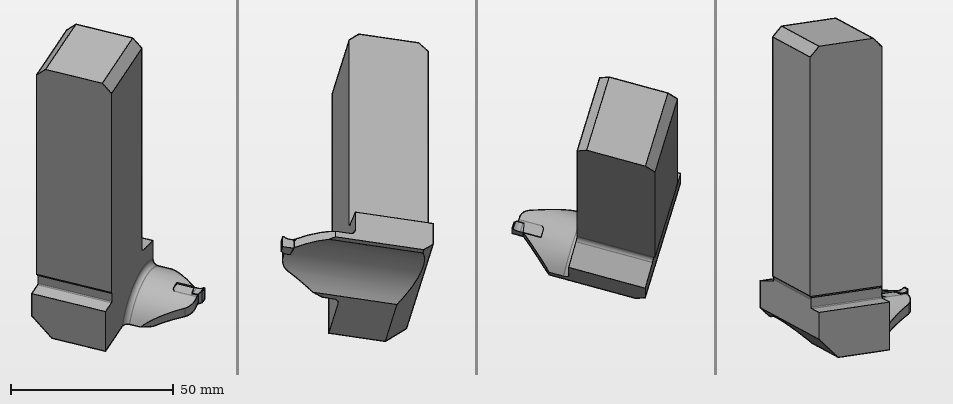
import cadquery as cq
import math

shank_width = 25.0
total_height = 99.3
top_chamfer = 3.1
shank_foot_z = 18.2
left_runout_height = 1.2
left_step = 0.45
left_runout_radius = (left_runout_height**2 + left_step**2) / (2 * left_step)
front_step = 0.2
front_bevel_height = 0.5
front_bevel_top_z = 19.3

head_front_y = -5.0
head_back_y = 34.3
shoulder_z = 15.4
shoulder_slope = 14.0
neck_fillet = 0.3
back_fillet = 1.6
corner_chamfer = 6.8

blade_y = shank_width
hollow_radius = 17.6
hollow_top_z = 5.6
hollow_back_z = 3.8
dome_radius = 16.1
dome_top_z = 9.0
root_fillet = 1.7
blade_overlap = 1.0

back_flank_x = 31.3
front_flank_x = 30.1
blade_side_y = 10.4
blade_tip_x = 44.9
back_flank_end_x = 42.3
nose_start = (42.8, 16.6)
nose_middle = (44.3, 18.0)
nose_end_y = 20.4

flat_start_x = 36.6
flat_front_y = 20.9
flat_z = 8.5
flat_corner = 1.0

tip_end_x = 46.0
tip_back_y = 24.9
tip_width = 3.1
tip_back_x = 42.4
tip_bottom_z = 5.3
tip_top_z = 9.5
tip_back_top_z = 8.8
tip_edge_width = 2.2
tip_relief = 0.9
groove_start_x = 43.3
groove_middle = (44.6, 8.9)
groove_end_x = 45.6
tip_skew = 0.5


def shank():
    """Square bar whose -X face runs out in a hollow arc at the foot."""
    runout_angle = math.asin(left_runout_height / left_runout_radius) / 2
    arc_middle = (
        left_step - left_runout_radius * (1 - math.cos(runout_angle)),
        shank_foot_z + left_runout_radius * math.sin(runout_angle),
    )
    bar = (
        cq.Workplane("XZ")
        .moveTo(shank_width, shank_foot_z)
        .lineTo(shank_width, total_height - top_chamfer)
        .lineTo(shank_width - top_chamfer, total_height)
        .lineTo(top_chamfer, total_height)
        .lineTo(0, total_height - top_chamfer)
        .lineTo(0, shank_foot_z + left_runout_height)
        .threePointArc(arc_middle, (left_step, shank_foot_z))
        .close()
        .extrude(-shank_width)
    )
    front_relief = (
        cq.Workplane("YZ")
        .polyline([
            (0, shank_foot_z),
            (front_step, shank_foot_z),
            (front_step, front_bevel_top_z - front_bevel_height),
            (0, front_bevel_top_z),
        ])
        .close()
        .extrude(shank_width)
    )
    return bar.cut(front_relief)


def head():
    """Foot block with a level front shoulder, a sloped back shoulder and a chamfered lower edge."""
    slope_rise = (head_back_y - shank_width) * math.tan(math.radians(shoulder_slope))
    block = (
        cq.Workplane("YZ", origin=(left_step, 0, 0))
        .polyline([
            (head_front_y, 0),
            (head_back_y, 0),
            (head_back_y, shoulder_z),
            (shank_width, shoulder_z + slope_rise),
            (shank_width, front_bevel_top_z),
            (front_step, front_bevel_top_z),
            (front_step, shoulder_z),
            (head_front_y, shoulder_z),
        ])
        .close()
        .extrude(shank_width - left_step)
    )
    middle_x = shank_width / 2
    front_corner = cq.selectors.NearestToPointSelector((middle_x, front_step, shoulder_z))
    back_corner = cq.selectors.NearestToPointSelector((middle_x, shank_width, shoulder_z + slope_rise))
    block = block.edges(front_corner).fillet(neck_fillet)
    block = block.edges(back_corner).fillet(back_fillet)
    return block.faces("<X").edges("<Z").chamfer(corner_chamfer)


def dome():
    """Part of a cylinder along X, from the head outwards, reaching below the base."""
    return (
        cq.Workplane("YZ", origin=(left_step, 0, 0))
        .center(blade_y, dome_top_z - dome_radius)
        .circle(dome_radius)
        .extrude(tip_end_x)
    )


def blade_envelope(start_x):
    """Space above the base inside the plan outline of the blade."""
    return (
        cq.Workplane("XY")
        .moveTo(start_x, blade_side_y - root_fillet)
        .lineTo(shank_width + root_fillet, blade_side_y - root_fillet)
        .lineTo(shank_width + root_fillet, blade_side_y)
        .lineTo(front_flank_x, blade_side_y)
        .lineTo(*nose_start)
        .threePointArc(nose_middle, (blade_tip_x, nose_end_y))
        .lineTo(blade_tip_x, tip_back_y)
        .lineTo(back_flank_end_x, tip_back_y)
        .lineTo(back_flank_x, head_back_y)
        .lineTo(start_x, head_back_y)
        .close()
        .extrude(shoulder_z)
    )


def root_flare():
    """Concave fillet ring that widens the dome where it leaves the head."""
    middle = root_fillet * (1 - math.sqrt(0.5))
    axis_z = dome_top_z - dome_radius
    return (
        cq.Workplane("XZ", origin=(0, blade_y, axis_z))
        .moveTo(shank_width, 0)
        .lineTo(shank_width, dome_radius + root_fillet)
        .threePointArc(
            (shank_width + middle, dome_radius + middle),
            (shank_width + root_fillet, dome_radius),
        )
        .lineTo(shank_width + root_fillet, 0)
        .close()
        .revolve(360, (0, 0, 0), (1, 0, 0))
    )


def blade():
    """Domed blade inside its plan outline, flared at the root."""
    return dome().union(root_flare()).intersect(blade_envelope(shank_width - blade_overlap))


def hollow():
    """Cylindrical hollow under head and blade, with a level land at the back edge."""
    centre_z = hollow_top_z - hollow_radius
    length = tip_end_x
    cylinder = cq.Workplane("YZ").center(blade_y, centre_z).circle(hollow_radius).extrude(length)
    land = cq.Workplane("XY").box(length, head_back_y - blade_y, hollow_back_z, centered=False)
    land = land.translate((0, blade_y, 0))
    return cylinder.union(land)


def top_flat():
    """Space cleared above the flat around the cutting tip."""
    return (
        cq.Workplane("XY", origin=(0, 0, flat_z))
        .polyline([
            (flat_start_x, tip_back_y),
            (flat_start_x, flat_front_y + flat_corner),
            (flat_start_x + flat_corner, flat_front_y),
            (tip_end_x, flat_front_y),
            (tip_end_x, tip_back_y),
        ])
        .close()
        .extrude(dome_top_z - flat_z)
    )


def make_tip():
    """Cutting tip: a small block with a chip groove rising to the cutting edge."""
    front_y = tip_back_y - tip_width
    edge_front_y = tip_back_y - tip_edge_width
    block = (
        cq.Workplane("XY", origin=(0, 0, tip_bottom_z))
        .polyline([
            (tip_back_x, tip_back_y),
            (tip_back_x + tip_skew, front_y),
            (tip_end_x - tip_relief, front_y),
            (tip_end_x, edge_front_y),
            (tip_end_x, tip_back_y),
        ])
        .close()
        .extrude(tip_top_z - tip_bottom_z)
    )
    side = (
        cq.Workplane("XZ", origin=(0, tip_back_y, 0))
        .moveTo(tip_back_x, tip_bottom_z)
        .lineTo(tip_end_x, tip_bottom_z)
        .lineTo(tip_end_x, tip_top_z)
        .lineTo(groove_end_x, tip_top_z)
        .threePointArc(groove_middle, (groove_start_x, tip_back_top_z))
        .lineTo(tip_back_x, tip_back_top_z)
        .close()
        .extrude(tip_width)
    )
    return block.intersect(side)


def make_holder(tip):
    """Shank, head and blade in one piece, with a seat for the cutting tip."""
    body = shank().union(head()).union(blade())
    return body.cut(hollow()).cut(top_flat()).cut(tip)


cutting_tip = make_tip()
holder = make_holder(cutting_tip)
result = cq.Compound.makeCompound([holder.solids().val(), cutting_tip.val()])